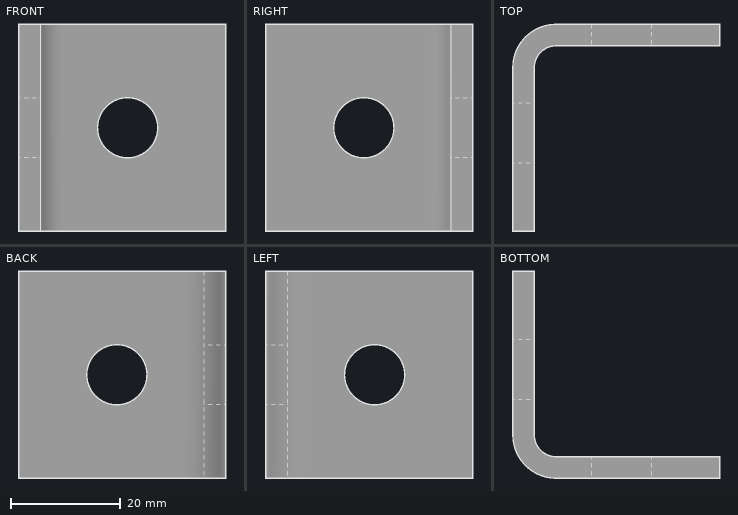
import cadquery as cq

leg_length = 38.0
height = 38.0
thickness = 4.0
inner_bend_radius = 4.0
hole_diameter = 11.0
hole_offset = 20.0

outer_bend_radius = inner_bend_radius + thickness
hole_height = height / 2

block = cq.Workplane("XY").box(leg_length, leg_length, height, centered=False)
block = block.translate((0, -leg_length, 0)).edges("|Z and <X and >Y").fillet(outer_bend_radius)

inner_space = (
    cq.Workplane("XY")
    .box(leg_length, leg_length, height, centered=False)
    .translate((thickness, -leg_length - thickness, 0))
    .edges("|Z and <X and >Y")
    .fillet(inner_bend_radius)
)
bracket = block.cut(inner_space)


def hole_cutter(start, direction):
    """Cylinder that passes through one leg from its outer face."""
    return cq.Workplane(
        cq.Solid.makeCylinder(hole_diameter / 2, thickness, cq.Vector(*start), cq.Vector(*direction))
    )


x_leg_hole = hole_cutter((hole_offset, 0, hole_height), (0, -1, 0))
y_leg_hole = hole_cutter((0, -hole_offset, hole_height), (1, 0, 0))

result = bracket.cut(x_leg_hole).cut(y_leg_hole)